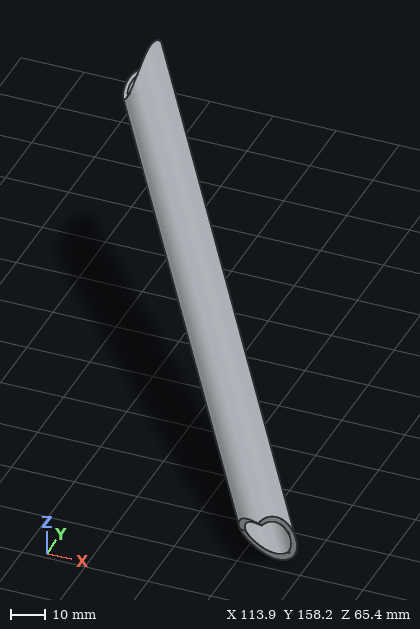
import cadquery as cq
TUBE_RADIUS = 7.6
WALL = 1.6
BLANK_LENGTH = 237.0
TUBE_MIDPOINT = cq.Vector(0, -6.3, -0.6)
TUBE_DIRECTION = cq.Vector(1, -1.44, -0.5)

UPPER_COPE_RADIUS = 10.5
UPPER_COPE_X = -59.9
UPPER_COPE_Z = 29.4

LOWER_NODE = cq.Vector(55.8, -86.8, -30.2)
LOWER_COPE_RADIUS = 11.2
LOWER_COPE_DIRECTIONS = (cq.Vector(1, -0.05, -0.28), cq.Vector(0, 0.12, 1), cq.Vector(1, -0.12, 0))

CUTTER_LENGTH = 316.1
Y_AXIS = cq.Vector(0, 1, 0)


def rod(centre, direction, radius, length):
    """Solid round rod centred on a point."""
    axis = direction.normalized()
    start = centre - axis * (length / 2)
    return cq.Workplane(cq.Plane(start, normal=axis)).circle(radius).extrude(length)


def blank_tube():
    """Hollow tube, longer than needed at both ends."""
    outside = rod(TUBE_MIDPOINT, TUBE_DIRECTION, TUBE_RADIUS, BLANK_LENGTH)
    bore = rod(TUBE_MIDPOINT, TUBE_DIRECTION, TUBE_RADIUS - WALL, BLANK_LENGTH)
    return outside.cut(bore)


def cope(tube, centre, direction, radius):
    """Cut a round saddle through the tube and drop the offcut beyond it."""
    pieces = tube.cut(rod(centre, direction, radius, CUTTER_LENGTH)).solids().vals()
    return cq.Workplane(max(pieces, key=lambda piece: piece.Volume()))


upper_node = cq.Vector(UPPER_COPE_X, 0, UPPER_COPE_Z)
coped_tube = cope(blank_tube(), upper_node, Y_AXIS, UPPER_COPE_RADIUS)
for direction in LOWER_COPE_DIRECTIONS:
    coped_tube = cope(coped_tube, LOWER_NODE, direction, LOWER_COPE_RADIUS)

result = coped_tube